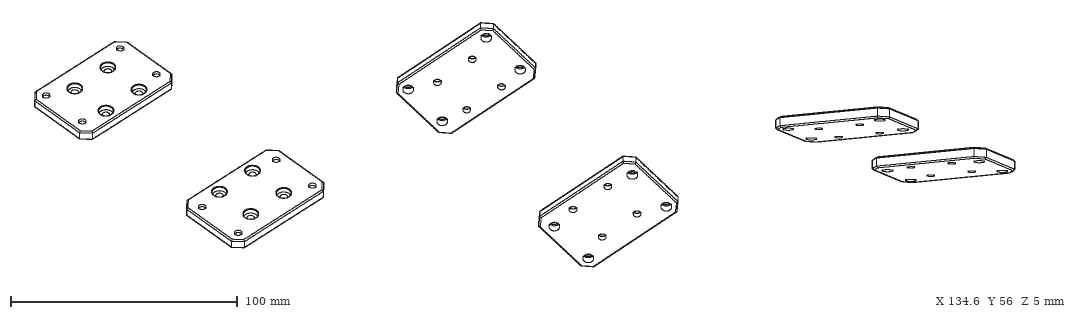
import cadquery as cq

overall_length = 134.6

plate_width = 37.0
plate_length = 56.0
plate_thickness = 5.0
corner_cut = 4.0
edge_chamfer = 0.7

corner_hole_diameter = 3.4
corner_recess_diameter = 4.7
corner_recess_depth = 3.6
corner_hole_spacing_x = 23.3
corner_hole_spacing_y = 45.0
corner_hole_outer_margin = 5.5

screw_hole_diameter = 3.4
screw_head_diameter = 6.5
screw_head_depth = 2.4
screw_rim_chamfer = 0.3
screw_spacing = 20.0
screw_inner_margin = 6.2

corner_holes_x = -plate_width / 2 + corner_hole_outer_margin + corner_hole_spacing_x / 2
screw_holes_x = plate_width / 2 - screw_inner_margin - screw_spacing / 2
plate_offset = (overall_length - plate_width) / 2


def plate_blank():
    """Rectangular plate with cut corners and chamfered top and bottom edges."""
    return (
        cq.Workplane("XY")
        .box(plate_width, plate_length, plate_thickness)
        .edges("|Z")
        .chamfer(corner_cut)
        .faces("<Z or >Z")
        .edges()
        .chamfer(edge_chamfer)
    )


def pins_on_corner_holes(diameter, height):
    """Four pins at the corner hole places, rising from the underside of the plate."""
    return (
        cq.Workplane("XY", origin=(corner_holes_x, 0, -plate_thickness / 2))
        .rarray(corner_hole_spacing_x, corner_hole_spacing_y, 2, 2)
        .circle(diameter / 2)
        .extrude(height)
    )


def screw_hole_cutter():
    """Turned cutter for one screw hole: shank, flat-bottomed head recess and chamfered rim."""
    top = plate_thickness / 2
    shank_radius = screw_hole_diameter / 2
    head_radius = screw_head_diameter / 2
    return (
        cq.Workplane("XZ")
        .moveTo(0, -plate_thickness)
        .lineTo(shank_radius, -plate_thickness)
        .lineTo(shank_radius, top - screw_head_depth)
        .lineTo(head_radius, top - screw_head_depth)
        .lineTo(head_radius, top - screw_rim_chamfer)
        .lineTo(head_radius + screw_rim_chamfer, top)
        .lineTo(0, top)
        .close()
        .revolve(360, (0, 0), (0, 1))
        .val()
    )


def screw_hole_cutters():
    """Four screw hole cutters on a square pattern."""
    cutter = screw_hole_cutter()
    return (
        cq.Workplane("XY", origin=(screw_holes_x, 0, 0))
        .rarray(screw_spacing, screw_spacing, 2, 2)
        .eachpoint(lambda place: cutter.moved(place))
    )


def finished_left_plate():
    """Finished left plate in its final place."""
    corner_holes = pins_on_corner_holes(corner_hole_diameter, plate_thickness)
    corner_recesses = pins_on_corner_holes(corner_recess_diameter, corner_recess_depth)
    drilled = plate_blank().cut(corner_holes).cut(corner_recesses).cut(screw_hole_cutters())
    return drilled.translate((-plate_offset, 0, 0))


left_plate = finished_left_plate()
right_plate = left_plate.mirror("YZ")

result = cq.Compound.makeCompound([left_plate.val(), right_plate.val()])